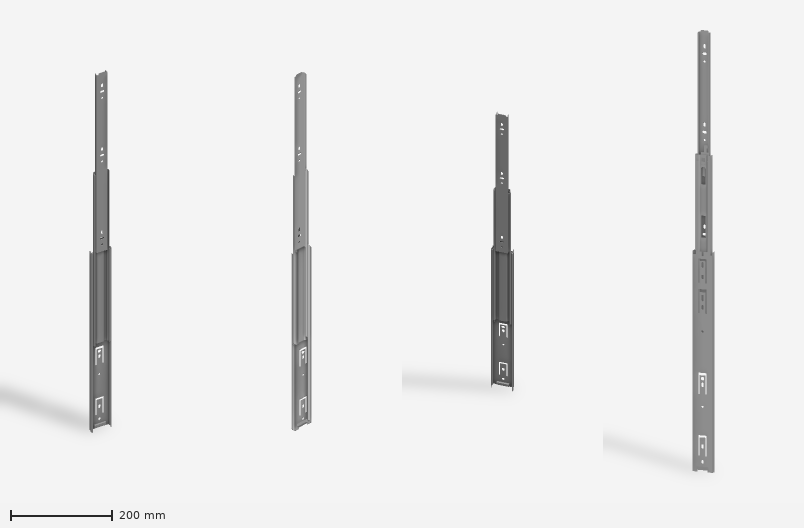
import cadquery as cq
import math

SHEET = 1.1
RAIL_LENGTH = 450.0
CUT_MARGIN = 1.0
WEB_CUT = SHEET + 2 * CUT_MARGIN

LEFT = 1
RIGHT = -1

CABINET_BOTTOM = 0.0
CABINET_TOP = CABINET_BOTTOM + RAIL_LENGTH
DRAWER_BOTTOM = CABINET_TOP
DRAWER_TOP = DRAWER_BOTTOM + RAIL_LENGTH
MIDDLE_BOTTOM = 216.0
MIDDLE_TOP = 647.0

CABINET_HALF = [(0, 21.3), (3.15, 21.3), (7.0, 22.95), (11.25, 21.0)]
MIDDLE_WEB_X = 4.5
MIDDLE_SHOULDER_X = 2.0
MIDDLE_HALF = [(MIDDLE_WEB_X, 6.5), (MIDDLE_SHOULDER_X, 9.45),
               (MIDDLE_SHOULDER_X, 14.85), (4.95, 15.75), (8.55, 17.6), (12.3, 16.0)]
DRAWER_WEB_X = 13.0
DRAWER_HALF = [(DRAWER_WEB_X, 12.3), (8.0, 12.0), (4.7, 11.8)]

SCREW_HOLE = 4.5
CABINET_ROUND_HOLES = [287.0, 133.0]
CABINET_SLOTS = [(423.0, 12.0), (399.0, 9.0), (355.5, 13.5), (337.0, 9.0), (178.0, 9.0), (52.0, 9.0), (21.0, 7.0)]
CABINET_LARGE_HOLE = 7.0
CABINET_LARGE_HOLE_Z = 191.0
TAB_OUTER = 18.0
TAB_LEG = 3.0
TABS = [(436.0, 4.5, 386.0, 414.0), (373.5, 6.0, 324.0, 351.0), (202.5, 5.0, 158.0, 192.0), (75.0, 4.5, 32.0, 64.0)]
TAB_SINK = 0.45
CORNER_CUT_Y = 14.0
CORNER_CUT_HEIGHT = 6.0
TOP_NOTCH_WIDTH = 4.0
TOP_NOTCH_DEPTH = 9.0
FOOT_NOTCH_WIDTH = 22.0
FOOT_NOTCH_HEIGHT = 4.0
STOP_WIDTH = 25.0
STOP_TOP = 11.0
STOP_DEPTH = 4.0
STOP_SINK = 0.45

WINDOW_WIDTH = 9.0
WINDOW_ARCHED = (587.0, 623.0)
WINDOW_ARCH_RADIUS = 4.05
WINDOW_SQUARE = (478.0, 523.0)
PEEP_SIZE = 8.0
PEEP_Z = 637.0
SHOULDER_SLOT_HEIGHT = 5.0
SHOULDER_SLOT_Y = (8.0, 13.8)
CREASE_Z = (627.0, 628.0)
CREASE_DEPTH = 0.45

DRAWER_HOLE_SETS = [868.0, 707.0, 499.0]
DRAWER_SLOT_LENGTH = 9.0
CROSS_SLOT_LENGTH = 9.0
CROSS_SLOT_HEIGHT = 5.0
CROSS_SLOT_DROP = 15.0
ROUND_HOLE_DROP = 31.5
NOSE_WIDTH = 16.0
NOSE_HEIGHT = 4.0
NOSE_FILLET = 2.0

LEVER_BACK_X = 7.0
LEVER_FRONT_X = DRAWER_WEB_X - SHEET
LEVER_BOTTOM = 603.0
LEVER_BASE_BOTTOM = 625.5
LEVER_BASE_TOP = 652.0
LEVER_TOP = 666.0
LEVER_BASE_Y = (-10.0, 5.0)
LEVER_STEM_Y = (-5.0, -1.0)
LEVER_HEAD_Y = (-8.0, -1.0)
LEVER_HEAD_HEIGHT = 5.0
LEVER_TONGUE_WIDTH = 4.5

CAGE_SHEET = 0.5
OUTER_CAGE_Y = 18.7
OUTER_CAGE_X = (4.0, 10.0)
OUTER_CAGE_THICKNESS = 1.0
OUTER_CAGE_Z = (MIDDLE_BOTTOM, 448.0)
INNER_CAGE_HALF = [(5.9, 6.75), (3.2, 9.7), (3.2, 13.7), (10.0, 13.7)]
INNER_CAGE_Z = (DRAWER_BOTTOM, 643.5)
BRIDGE_BOTTOM = 628.0
BRIDGE_HALF_WIDTH = 13.0


def box(x_span, y_span, z_span):
    """Axis-aligned block given by its (low, high) limits."""
    spans = (x_span, y_span, z_span)
    lengths = [high - low for low, high in spans]
    corner = tuple(low for low, high in spans)
    return cq.Workplane("XY").box(*lengths, centered=False).translate(corner)


def centred(width):
    return (-width / 2, width / 2)


def offset_path(path, distance, side):
    """Shift an open path to one side (LEFT or RIGHT), keeping its corners mitred."""
    normals = []
    for (x0, y0), (x1, y1) in zip(path, path[1:]):
        length = math.hypot(x1 - x0, y1 - y0)
        normals.append((-side * (y1 - y0) / length, side * (x1 - x0) / length))
    before = [normals[0]] + normals
    after = normals + [normals[-1]]
    shifted = []
    for (x, y), (ax, ay), (bx, by) in zip(path, before, after):
        reach = distance / (1 + ax * bx + ay * by)
        shifted.append((x + reach * (ax + bx), y + reach * (ay + by)))
    return shifted


def folded_sheet(half, thickness, side, bottom, top):
    """Symmetric sheet profile, thickened to one side and run from bottom to top along Z."""
    mirrored = [(x, -y) for x, y in reversed(half)]
    skin = mirrored + half
    inside = offset_path(skin, thickness, side)
    outline = cq.Workplane("XY", origin=(0, 0, bottom)).polyline(skin + inside[::-1])
    return outline.close().extrude(top - bottom)


def web_plane(skin_x):
    """Sketch plane just outside a web whose -X face is at skin_x; local axes are Y and Z."""
    return cq.Workplane("YZ", origin=(skin_x - CUT_MARGIN, 0, 0))


def round_hole(skin_x, z, diameter):
    return web_plane(skin_x).center(0, z).circle(diameter / 2).extrude(WEB_CUT)


def slot_hole(skin_x, z, length, width, angle):
    return web_plane(skin_x).center(0, z).slot2D(length, width, angle).extrude(WEB_CUT)


def web_opening(skin_x, y_span, z_span):
    return box((skin_x - CUT_MARGIN, skin_x + SHEET + CUT_MARGIN), y_span, z_span)


def cut_tab(rail, cut_top, cross_height, leg_bottom, bend_z):
    """Free a tongue with an inverted U cut and sink its tip above the bend line."""
    half = TAB_OUTER / 2
    rail = rail.cut(web_opening(0, centred(TAB_OUTER), (cut_top - cross_height, cut_top)))
    for y_span in ((-half, TAB_LEG - half), (half - TAB_LEG, half)):
        rail = rail.cut(web_opening(0, y_span, (leg_bottom, cut_top)))
    return rail.cut(box((-CUT_MARGIN, TAB_SINK), centred(TAB_OUTER), (bend_z, cut_top)))


def make_cabinet_rail():
    rail = folded_sheet(CABINET_HALF, SHEET, RIGHT, CABINET_BOTTOM, CABINET_TOP)
    for tab in TABS:
        rail = cut_tab(rail, *tab)
    for z in CABINET_ROUND_HOLES:
        rail = rail.cut(round_hole(0, z, SCREW_HOLE))
    rail = rail.cut(round_hole(0, CABINET_LARGE_HOLE_Z, CABINET_LARGE_HOLE))
    for z, length in CABINET_SLOTS:
        rail = rail.cut(slot_hole(0, z, length, SCREW_HOLE, 90))

    rail = rail.cut(web_opening(0, centred(TOP_NOTCH_WIDTH), (CABINET_TOP - TOP_NOTCH_DEPTH, CABINET_TOP)))
    web_edge = CABINET_HALF[0][1] - SHEET
    corner_z = (CABINET_TOP - CORNER_CUT_HEIGHT, CABINET_TOP)
    for y_span in ((-web_edge, -CORNER_CUT_Y), (CORNER_CUT_Y, web_edge)):
        rail = rail.cut(web_opening(0, y_span, corner_z))

    stop_z = (FOOT_NOTCH_HEIGHT, STOP_TOP)
    stop = box((STOP_SINK, SHEET + STOP_DEPTH), centred(STOP_WIDTH), stop_z)
    recess = box((-CUT_MARGIN, STOP_SINK), centred(STOP_WIDTH), stop_z)
    foot_notch = web_opening(0, centred(FOOT_NOTCH_WIDTH), (CABINET_BOTTOM, FOOT_NOTCH_HEIGHT))
    return rail.union(stop).cut(recess).cut(foot_notch)


def make_middle_rail():
    rail = folded_sheet(MIDDLE_HALF, SHEET, RIGHT, MIDDLE_BOTTOM, MIDDLE_TOP)
    rail = rail.cut(web_opening(MIDDLE_WEB_X, centred(WINDOW_WIDTH), WINDOW_SQUARE))
    arched = web_opening(MIDDLE_WEB_X, centred(WINDOW_WIDTH), WINDOW_ARCHED)
    arched = arched.edges("|X and >Z").fillet(WINDOW_ARCH_RADIUS)
    rail = rail.cut(arched)
    peep_z = (PEEP_Z - PEEP_SIZE / 2, PEEP_Z + PEEP_SIZE / 2)
    rail = rail.cut(web_opening(MIDDLE_WEB_X, centred(PEEP_SIZE), peep_z))
    slot_z = (PEEP_Z - SHOULDER_SLOT_HEIGHT / 2, PEEP_Z + SHOULDER_SLOT_HEIGHT / 2)
    slot_x = (MIDDLE_SHOULDER_X - CUT_MARGIN, MIDDLE_WEB_X + CUT_MARGIN)
    near, far = SHOULDER_SLOT_Y
    for y_span in ((-far, -near), (near, far)):
        rail = rail.cut(box(slot_x, y_span, slot_z))
    crease_x = (MIDDLE_WEB_X - CUT_MARGIN, MIDDLE_WEB_X + CREASE_DEPTH)
    rail = rail.cut(box(crease_x, centred(WINDOW_WIDTH), CREASE_Z))
    return rail


def make_drawer_rail():
    rail = folded_sheet(DRAWER_HALF, SHEET, LEFT, DRAWER_BOTTOM, DRAWER_TOP - NOSE_HEIGHT)
    inner_x = DRAWER_WEB_X - SHEET

    nose = box((inner_x, DRAWER_WEB_X), centred(NOSE_WIDTH), (DRAWER_TOP - NOSE_HEIGHT, DRAWER_TOP))
    rail = rail.union(nose.edges("|X and >Z").fillet(NOSE_FILLET))

    for z in DRAWER_HOLE_SETS:
        rail = rail.cut(slot_hole(inner_x, z, DRAWER_SLOT_LENGTH, SCREW_HOLE, 90))
        rail = rail.cut(slot_hole(inner_x, z - CROSS_SLOT_DROP, CROSS_SLOT_LENGTH, CROSS_SLOT_HEIGHT, 0))
        rail = rail.cut(round_hole(inner_x, z - ROUND_HOLE_DROP, SCREW_HOLE))
    return rail


def make_lever():
    """Plastic release lever lying against the drawer rail's web: a tongue, a wide base, a stem and a head."""
    x_span = (LEVER_BACK_X, LEVER_FRONT_X)
    base = box(x_span, LEVER_BASE_Y, (LEVER_BASE_BOTTOM, LEVER_BASE_TOP))
    tongue = box(x_span, centred(LEVER_TONGUE_WIDTH), (LEVER_BOTTOM, LEVER_BASE_BOTTOM))
    stem = box(x_span, LEVER_STEM_Y, (LEVER_BASE_TOP, LEVER_TOP))
    head = box(x_span, LEVER_HEAD_Y, (LEVER_TOP - LEVER_HEAD_HEIGHT, LEVER_TOP))
    return base.union(tongue).union(stem).union(head)


def make_outer_cage(side):
    """Ball cage strip between the cabinet and intermediate rails; side is +1 for +Y, -1 for -Y."""
    strip_y = sorted((side * OUTER_CAGE_Y, side * (OUTER_CAGE_Y + OUTER_CAGE_THICKNESS)))
    return box(OUTER_CAGE_X, strip_y, OUTER_CAGE_Z)


def make_inner_cage():
    """Ball cage inside the intermediate rail: two sides joined by a bridge at the top."""
    low, high = INNER_CAGE_Z
    cage = folded_sheet(INNER_CAGE_HALF, CAGE_SHEET, RIGHT, low, high)
    return cage.cut(box((0, DRAWER_WEB_X), centred(2 * BRIDGE_HALF_WIDTH), (low, BRIDGE_BOTTOM)))


cabinet_rail = make_cabinet_rail()
middle_rail = make_middle_rail()
drawer_rail = make_drawer_rail()
lever = make_lever()
inner_cage = make_inner_cage()
outer_cages = [make_outer_cage(side) for side in (1, -1)]

result = cq.Compound.makeCompound([
    cabinet_rail.val(),
    middle_rail.val(),
    drawer_rail.val(),
    lever.val(),
    inner_cage.val(),
    *[cage.val() for cage in outer_cages],
])